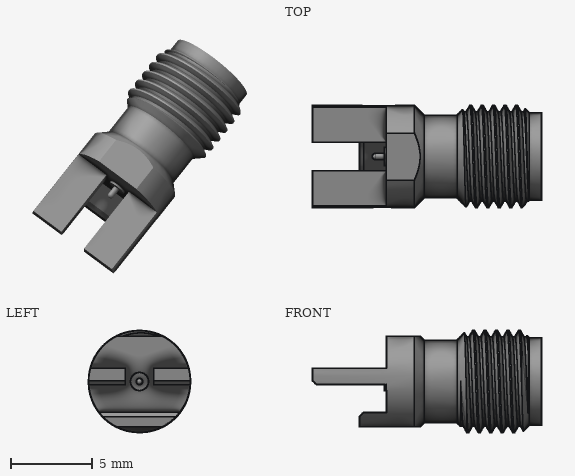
import cadquery as cq
import math

total_length = 14.07
lower_leg_start = 2.88
pin_start = 3.67
body_face = 4.55
body_chamfer_start = 6.26
neck_joint = 7.6
thread_start = 8.88
thread_end = 13.31

body_radius = 6.28 / 2
neck_radius = 5.08 / 2
tip_radius = 5.39 / 2

flat_height = 2.79
leg_slot_half_width = 0.87
upper_leg_top = 0.82
upper_leg_bottom = -0.2
lower_leg_top = -1.9
leg_chamfer = 0.25

pin_radius = 0.38 / 2
insulator_radius = 1.11 / 2
insulator_projection = 0.13

pitch = 0.705
root_radius = 2.76
root_width = 0.17
flank_angle = 30.0
groove_overshoot = 0.04
groove_start = 8.48
groove_turns = 7


def x_cylinder(start, end, radius):
    """Solid cylinder on the connector axis between two stations."""
    return cq.Workplane("YZ", origin=(start, 0, 0)).circle(radius).extrude(end - start)


def make_shell():
    """Turned outside shape, with 45-degree shoulders at the body and both thread ends."""
    shoulder = body_radius - neck_radius
    lead_out = body_radius - tip_radius
    return (
        cq.Workplane("XY")
        .moveTo(0, 0)
        .lineTo(0, body_radius)
        .lineTo(body_chamfer_start, body_radius)
        .lineTo(body_chamfer_start + shoulder, neck_radius)
        .lineTo(thread_start, neck_radius)
        .lineTo(thread_start + shoulder, body_radius)
        .lineTo(thread_end - lead_out, body_radius)
        .lineTo(thread_end, tip_radius)
        .lineTo(total_length, tip_radius)
        .lineTo(total_length, 0)
        .close()
        .revolve(360, (0, 0, 0), (1, 0, 0))
    )


def block(start, end, y_low, y_high, z_low, z_high):
    """Axis-aligned box given by its limits."""
    return cq.Workplane("XY").box(
        end - start, y_high - y_low, z_high - z_low, centered=False
    ).translate((start, y_low, z_low))


def make_body_envelope():
    """Region kept from the turned shape ahead of the thread: legs, flatted body and start of the neck."""
    neck_start = body_chamfer_start + body_radius - neck_radius
    envelope = block(body_face, neck_start, -body_radius, body_radius, -flat_height, flat_height)
    envelope = envelope.union(x_cylinder(neck_start, neck_joint, body_radius))

    lower_leg = block(
        lower_leg_start, body_face, -body_radius, body_radius, -flat_height, lower_leg_top
    )
    envelope = envelope.union(lower_leg.edges("<X and >Z").chamfer(leg_chamfer))

    for y_low, y_high in (
        (-body_radius, -leg_slot_half_width),
        (leg_slot_half_width, body_radius),
    ):
        upper_leg = block(0, body_face, y_low, y_high, upper_leg_bottom, upper_leg_top)
        envelope = envelope.union(upper_leg.edges("<X and <Z").chamfer(leg_chamfer))
    return envelope


def make_thread_groove():
    """Right-handed helical groove, swept along Z and then laid onto the X axis."""
    outer_radius = body_radius + groove_overshoot
    flank_run = (outer_radius - root_radius) * math.tan(math.radians(flank_angle))
    half_root = root_width / 2
    half_mouth = half_root + flank_run
    helix = cq.Wire.makeHelix(pitch, groove_turns * pitch, root_radius)
    groove = (
        cq.Workplane("XZ")
        .polyline([
            (root_radius, -half_root),
            (outer_radius, -half_mouth),
            (outer_radius, half_mouth),
            (root_radius, half_root),
        ])
        .close()
        .sweep(cq.Workplane(obj=helix), isFrenet=True)
    )
    return groove.rotate((0, 0, 0), (0, 1, 0), 90).translate((groove_start, 0, 0))


def make_contact():
    """Insulator disc and round-nosed pin standing out of the body face."""
    insulator = x_cylinder(body_face - insulator_projection, body_face, insulator_radius)
    nose_centre = pin_start + pin_radius
    nose = cq.Workplane("XY").sphere(pin_radius).translate((nose_centre, 0, 0))
    return insulator.union(x_cylinder(nose_centre, body_face, pin_radius)).union(nose)


def make_threaded_end(shell):
    """Threaded end: a grooved plain bar, trimmed to the turned outside shape.

    The bar is longer than the groove, so both groove ends stay inside its material.
    """
    bar = x_cylinder(neck_joint, total_length + pitch, body_radius).cut(make_thread_groove())
    return bar.intersect(shell)


turned_shell = make_shell()
result = turned_shell.intersect(make_body_envelope())
result = result.union(make_threaded_end(turned_shell))
result = result.union(make_contact())